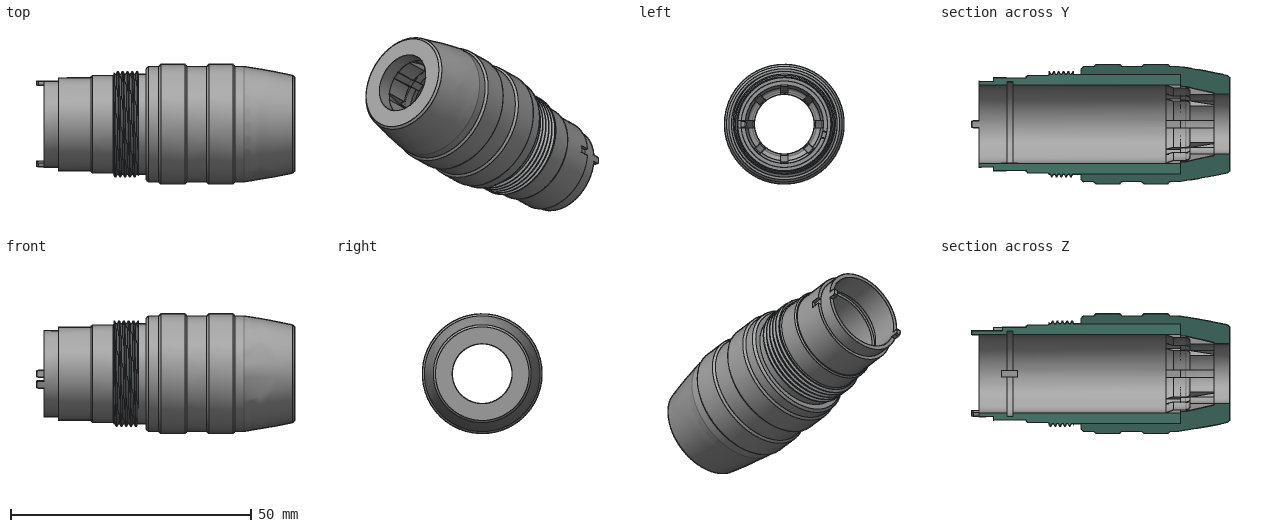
import cadquery as cq


rim_radius = 9.0
rim_end = 3.0
front_radius = 9.7
collar_start = 9.85
collar_radius = 10.2
collar_chamfer = 0.3
thread_step_start = 14.4
root_radius = 10.45

crest_radius = 11.0
thread_pitch = 1.0
helix_turns = 7
helix_start = 13.65
thread_start = thread_step_start + root_radius - collar_radius
thread_end = 19.67
thread_base_width = 0.8
thread_crest_width = 0.15
thread_embed = 0.1

bore_radius = 8.15
groove_start = 5.9
groove_end = 7.1
groove_radius = 8.85
land_start = 4.7
land_width = 1.4
land_end = 8.0
land_radius = 8.1

tab_length = 1.5
tab_width = 1.5
tab_tip_width = 1.2
tab_taper_length = 0.4
tab_angles = (0, 195)
keyway_width = tab_width
keyway_end = 4.9

nut_start = 21.26
nut_end = 52.26
nut_radius = 12.05
nut_front_chamfer = 0.5
band_radius = 12.5
band_ramp = band_radius - nut_radius
band_starts = (23.9, 33.9)
band_top_length = 5.0
taper_start = 41.65
taper_end_radius = 10.2
taper_bulge = 0.1
nut_rear_chamfer = 0.45

seat_shoulder = 42.0
seat_radius = 7.85
cone_start = 43.0
cone_end = 49.0
cone_end_radius = 6.5
exit_radius = 6.2
finger_cone_start = 39.0
finger_cone_end = 40.5
finger_radius = 7.6
finger_lip_start = 44.0
finger_fillet = 0.9
slot_count = 8
slot_width = 1.5


def revolve_about_x(profile):
    return profile.close().revolve(360, (0, 0, 0), (1, 0, 0))


def tube(x_start, x_end, inner_radius, outer_radius):
    ring = cq.Workplane("YZ", origin=(x_start, 0, 0)).circle(outer_radius).circle(inner_radius)
    return ring.extrude(x_end - x_start)


def sleeve_blank():
    collar_edge = collar_radius - collar_chamfer
    step_height = root_radius - collar_radius
    return revolve_about_x(
        cq.Workplane("XY")
        .moveTo(0, bore_radius)
        .lineTo(0, rim_radius)
        .lineTo(rim_end, rim_radius)
        .lineTo(rim_end, front_radius)
        .lineTo(collar_start, front_radius)
        .lineTo(collar_start, collar_edge)
        .lineTo(collar_start + collar_chamfer, collar_radius)
        .lineTo(thread_step_start, collar_radius)
        .lineTo(thread_step_start + step_height, root_radius)
        .lineTo(seat_shoulder, root_radius)
        .lineTo(seat_shoulder, seat_radius)
        .lineTo(cone_start, seat_radius)
        .lineTo(cone_end, cone_end_radius)
        .lineTo(cone_end, exit_radius)
        .lineTo(finger_lip_start, exit_radius)
        .lineTo(finger_lip_start, finger_radius - finger_fillet)
        .radiusArc((finger_lip_start - finger_fillet, finger_radius), -finger_fillet)
        .lineTo(finger_cone_end, finger_radius)
        .lineTo(finger_cone_start, bore_radius)
    )


def thread_ridge():
    """Right-handed helical ridge, built along +Z, turned onto +X and trimmed square at both ends."""
    height = helix_turns * thread_pitch
    base_radius = root_radius - thread_embed
    helix = cq.Workplane(obj=cq.Wire.makeHelix(thread_pitch, height, base_radius))
    ridge = (
        cq.Workplane("XZ")
        .moveTo(base_radius, -thread_base_width / 2)
        .lineTo(crest_radius, -thread_crest_width / 2)
        .lineTo(crest_radius, thread_crest_width / 2)
        .lineTo(base_radius, thread_base_width / 2)
        .close()
        .sweep(helix, isFrenet=True)
    )
    ridge = (
        ridge.rotate((0, 0, 0), (0, 1, 0), 90)
        .rotate((0, 0, 0), (1, 0, 0), 180)
        .translate((helix_start, 0, 0))
    )
    return ridge.intersect(tube(thread_start, thread_end, bore_radius, band_radius))


def tabs():
    """Tabs that continue the rim wall forward, narrowing at the tip."""
    outline = (
        cq.Workplane("XZ")
        .moveTo(0, -tab_width / 2)
        .lineTo(tab_taper_length - tab_length, -tab_width / 2)
        .lineTo(-tab_length, -tab_tip_width / 2)
        .lineTo(-tab_length, tab_tip_width / 2)
        .lineTo(tab_taper_length - tab_length, tab_width / 2)
        .lineTo(0, tab_width / 2)
        .close()
        .extrude(-rim_radius)
    )
    wall = tube(-tab_length, 0, bore_radius, rim_radius)
    return [wall.intersect(outline.rotate((0, 0, 0), (1, 0, 0), angle)) for angle in tab_angles]


def keyway():
    """Short slot in the front step, in line with the tab on +Y."""
    depth = front_radius - rim_radius
    return cq.Workplane("XY").box(
        keyway_end - rim_end, 2 * depth, keyway_width, centered=(False, False, True)
    ).translate((rim_end, rim_radius, 0))


def bore_land():
    """Flat land on the -Z side of the bore that bridges the groove."""
    return cq.Workplane("XY").box(
        land_end - land_start, land_width, groove_radius - land_radius, centered=(False, True, False)
    ).translate((land_start, 0, -groove_radius))


def finger_slots():
    slot = cq.Workplane("XY").box(
        cone_end - finger_cone_start, bore_radius, slot_width, centered=(False, False, True)
    ).translate((finger_cone_start, 0, 0))
    return [slot.rotate((0, 0, 0), (1, 0, 0), i * 360 / slot_count) for i in range(slot_count)]


def make_sleeve():
    sleeve = sleeve_blank().cut(tube(groove_start, groove_end, bore_radius, groove_radius))
    sleeve = sleeve.union(bore_land()).cut(keyway())
    for slot in finger_slots():
        sleeve = sleeve.cut(slot)
    for tab in tabs():
        sleeve = sleeve.union(tab)
    return sleeve.union(thread_ridge())


def make_nut():
    profile = (
        cq.Workplane("XY")
        .moveTo(nut_start, root_radius)
        .lineTo(nut_start, nut_radius - nut_front_chamfer)
        .lineTo(nut_start + nut_front_chamfer, nut_radius)
    )
    for start in band_starts:
        top_start = start + band_ramp
        top_end = top_start + band_top_length
        profile = (
            profile.lineTo(start, nut_radius)
            .lineTo(top_start, band_radius)
            .lineTo(top_end, band_radius)
            .lineTo(top_end + band_ramp, nut_radius)
        )
    taper_end = nut_end - nut_rear_chamfer
    taper_middle = (
        (taper_start + taper_end) / 2,
        (nut_radius + taper_end_radius) / 2 + taper_bulge,
    )
    profile = (
        profile.lineTo(taper_start, nut_radius)
        .threePointArc(taper_middle, (taper_end, taper_end_radius))
        .lineTo(nut_end, taper_end_radius - nut_rear_chamfer)
        .lineTo(nut_end, exit_radius)
        .lineTo(cone_end, exit_radius)
        .lineTo(cone_end, cone_end_radius)
        .lineTo(cone_start, seat_radius)
        .lineTo(seat_shoulder, seat_radius)
        .lineTo(seat_shoulder, root_radius)
    )
    return revolve_about_x(profile)


sleeve = make_sleeve()
nut = make_nut()

result = cq.Compound.makeCompound([sleeve.val(), nut.val()])